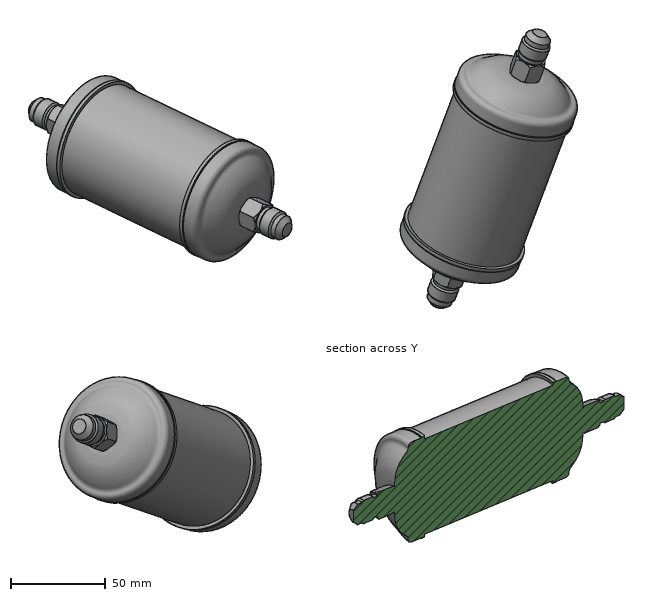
import cadquery as cq
import math


total_length = 176.0
end_x = total_length / 2
dome_inset = 26.8
rim_inset = 35.5

shell_radius = 31.7
rim_radius = 33.3
rim_round = 2.6
rim_length = 8.5
bead_diameter = 67.0
bead_radius = bead_diameter / 2
bead_step = 0.5
bead_width = 2.0
crown_radius = 11.0
dome_round = 21.8
skirt_length = 1.5
skirt_angle = math.radians(45)

nose_radius = 4.0
neck_radius = 6.9
thread_diameter = 15.7
thread_radius = thread_diameter / 2
thread_chamfer = thread_radius - neck_radius
nose_neck_length = 2.8
thread_length = 8.0
relief_length = 2.1
hex_sides = 6
hex_across_flats = 15.8
hex_chamfer_angle = math.radians(45)
hex_burial = 0.4


def turn(profile):
    """Revolve an XY profile, closed on the X axis, about that axis."""
    return profile.close().revolve(360, (0, 0, 0), (1, 0, 0))


def make_end_cap():
    rim_face_x = end_x - rim_inset
    crown_x = end_x - dome_inset
    bead_outer_x = rim_face_x - rim_length
    bead_x = bead_outer_x - bead_step
    bead_inner_x = bead_x - bead_width

    def dome_point(angle):
        """Point on the dome arc, at an angle from the X direction."""
        return (
            crown_x - dome_round * (1 - math.cos(angle)),
            crown_radius + dome_round * math.sin(angle),
        )

    skirt_start = dome_point(skirt_angle)
    skirt_end = (
        skirt_start[0] - skirt_length,
        skirt_start[1] + skirt_length / math.tan(skirt_angle),
    )

    valley_round = (skirt_end[0] - rim_face_x) / (1 - math.cos(skirt_angle))
    valley_rise = valley_round * math.sin(skirt_angle)
    valley_end = (rim_face_x, skirt_end[1] + valley_rise)

    profile = (
        cq.Workplane("XY")
        .moveTo(bead_inner_x, 0)
        .lineTo(crown_x, 0)
        .lineTo(crown_x, crown_radius)
        .threePointArc(dome_point(skirt_angle / 2), skirt_start)
        .lineTo(*skirt_end)
        .radiusArc(valley_end, valley_round)
        .lineTo(rim_face_x, rim_radius - rim_round)
        .radiusArc((rim_face_x - rim_round, rim_radius), -rim_round)
        .lineTo(bead_outer_x, rim_radius)
        .lineTo(bead_x, bead_radius)
        .lineTo(bead_inner_x, bead_radius)
    )
    return turn(profile)


def make_fitting():
    nose_base_x = end_x - (neck_radius - nose_radius)
    thread_outer_x = nose_base_x - nose_neck_length
    thread_inner_x = thread_outer_x - thread_length
    hex_outer_x = thread_inner_x - relief_length
    hex_inner_x = end_x - dome_inset - hex_burial
    hex_length = hex_outer_x - hex_inner_x

    stem = turn(
        cq.Workplane("XY")
        .moveTo(hex_inner_x, 0)
        .lineTo(end_x, 0)
        .lineTo(end_x, nose_radius)
        .lineTo(nose_base_x, neck_radius)
        .lineTo(thread_outer_x, neck_radius)
        .lineTo(thread_outer_x - thread_chamfer, thread_radius)
        .lineTo(thread_inner_x + thread_chamfer, thread_radius)
        .lineTo(thread_inner_x, neck_radius)
        .lineTo(hex_inner_x, neck_radius)
    )

    flat_radius = hex_across_flats / 2
    corner_radius = flat_radius / math.cos(math.pi / hex_sides)
    chamfer_length = (corner_radius - flat_radius) / math.tan(hex_chamfer_angle)
    hexagon = (
        cq.Workplane("YZ", origin=(hex_inner_x, 0, 0))
        .transformed(rotate=(0, 0, 90))
        .polygon(hex_sides, 2 * corner_radius)
        .extrude(hex_length)
    )
    coned_blank = turn(
        cq.Workplane("XY")
        .moveTo(hex_inner_x, 0)
        .lineTo(hex_outer_x, 0)
        .lineTo(hex_outer_x, flat_radius)
        .lineTo(hex_outer_x - chamfer_length, corner_radius)
        .lineTo(hex_inner_x + chamfer_length, corner_radius)
        .lineTo(hex_inner_x, flat_radius)
    )
    return stem.union(hexagon.intersect(coned_blank))


def make_shell():
    """Plain cylinder whose ends are buried inside the two caps."""
    shell_half_length = end_x - rim_inset - rim_length
    return (
        cq.Workplane("YZ", origin=(-shell_half_length, 0, 0))
        .circle(shell_radius)
        .extrude(2 * shell_half_length)
    )


end_assembly = make_end_cap().union(make_fitting())
result = make_shell().union(end_assembly).union(end_assembly.mirror("YZ"))